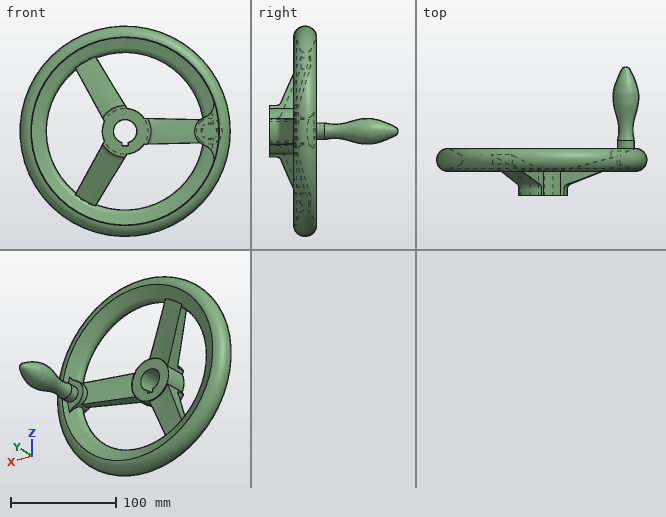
import cadquery as cq
import math


rim_outer_radius = 100.0
rim_round_radius = 11.0
rim_front = 23.0
recess_radius = rim_outer_radius - rim_round_radius
recess_mouth_radius = 89.5
recess_depth = 2.8
lip_inner_radius = 74.8
lip_round_radius = 6.0
lip_tilt = math.radians(15)

hub_radius = 21.8
hub_length = 24.8
bore_radius = 11.0
keyway_width = 5.5
keyway_reach = 13.5

spoke_count = 3
spoke_root_width = 25.5
spoke_tip_width = 21.8
spoke_root_radius = 24.5
spoke_root_length = 6.8
spoke_blend_radius = 27.4
spoke_blend_end = 11.0
spoke_front_slope = math.tan(math.radians(21.5))
spoke_back_slope = math.tan(math.radians(15.4))
spoke_back_start_radius = 20.0
spoke_back_start = 23.2

handle_x = 80.0
boss_radius = 14.0
boss_back = 42.5
handle_base_radius = 8.0
handle_base_end = 52.5
neck_radius = 6.8
neck_position = 62.4
neck_curve_radius = 40.0
belly_start = 73.4
belly_radius = 12.4
belly_position = 92.4
tip_edge_radius = 4.0
tip_edge = 120.0
tip_end = 122.4

rim_middle = rim_front + rim_round_radius
rim_back = rim_front + 2 * rim_round_radius
recess_floor = rim_front + recess_depth
lip_center_radius = lip_inner_radius + lip_round_radius
lip_front_radius = lip_center_radius - lip_round_radius * math.sin(lip_tilt)
lip_front = recess_floor + (recess_radius - lip_front_radius) * math.tan(lip_tilt)
lip_center = lip_front + lip_round_radius * math.cos(lip_tilt)


def revolve_about_y(profile):
    """Turn a closed (radius, y) profile once around the Y axis."""
    return profile.close().revolve(360, (0, 0, 0), (0, 1, 0))


def extrude_along_y(sketch, start, end):
    """Extrude an XZ sketch from y = start to y = end."""
    return sketch.extrude(start - end).translate((0, start, 0))


def make_rim():
    across = recess_radius - lip_center_radius
    along = rim_back - lip_center
    tangent_angle = math.atan2(along, across) + math.acos(lip_round_radius / math.hypot(across, along))
    lip_back_point = (
        lip_center_radius + lip_round_radius * math.cos(tangent_angle),
        lip_center + lip_round_radius * math.sin(tangent_angle),
    )
    mouth_offset = recess_mouth_radius - recess_radius
    mouth_y = rim_middle - math.sqrt(rim_round_radius**2 - mouth_offset**2)
    profile = (
        cq.Workplane("XY")
        .moveTo(recess_mouth_radius, mouth_y)
        .threePointArc((rim_outer_radius, rim_middle), (recess_radius, rim_back))
        .lineTo(*lip_back_point)
        .threePointArc((lip_inner_radius, lip_center), (lip_front_radius, lip_front))
        .lineTo(recess_radius, recess_floor)
    )
    return revolve_about_y(profile)


def make_hub():
    return extrude_along_y(cq.Workplane("XZ").circle(hub_radius), 0, hub_length)


def make_spokes():
    end_radius = lip_center_radius
    front_end = spoke_blend_end + (end_radius - spoke_blend_radius) * spoke_front_slope
    back_end = spoke_back_start + (end_radius - spoke_back_start_radius) * spoke_back_slope
    disc = revolve_about_y(
        cq.Workplane("XY")
        .lineTo(spoke_root_radius, 0)
        .lineTo(spoke_root_radius, spoke_root_length)
        .tangentArcPoint((spoke_blend_radius, spoke_blend_end), relative=False)
        .lineTo(end_radius, front_end)
        .lineTo(end_radius, back_end)
        .lineTo(spoke_back_start_radius, spoke_back_start)
        .lineTo(0, spoke_back_start)
    )
    bar = extrude_along_y(
        cq.Workplane("XZ").polyline([
            (0, -spoke_root_width / 2),
            (end_radius, -spoke_tip_width / 2),
            (end_radius, spoke_tip_width / 2),
            (0, spoke_root_width / 2),
        ]).close(),
        0, rim_back,
    )
    arm = disc.intersect(bar)
    spokes = arm
    for index in range(1, spoke_count):
        spokes = spokes.union(arm.rotate((0, 0, 0), (0, 1, 0), index * 360 / spoke_count))
    return spokes


def make_boss():
    flank_radius = boss_radius
    center_distance = recess_radius - flank_radius
    boss_to_flank = boss_radius + flank_radius
    center_x = (center_distance**2 - boss_to_flank**2 + handle_x**2) / (2 * handle_x)
    center_z = math.sqrt(center_distance**2 - center_x**2)
    boss_touch_x = (handle_x + center_x) / 2
    boss_touch_z = center_z / 2
    rim_touch_x = center_x * recess_radius / center_distance
    rim_touch_z = center_z * recess_radius / center_distance
    angle_to_boss = math.atan2(boss_touch_z - center_z, boss_touch_x - center_x)
    angle_to_rim = math.atan2(rim_touch_z - center_z, rim_touch_x - center_x)
    middle_angle = (angle_to_boss + angle_to_rim) / 2
    middle_x = center_x + flank_radius * math.cos(middle_angle)
    middle_z = center_z + flank_radius * math.sin(middle_angle)
    outline = (
        cq.Workplane("XZ")
        .moveTo(rim_touch_x, rim_touch_z)
        .threePointArc((middle_x, middle_z), (boss_touch_x, boss_touch_z))
        .threePointArc((handle_x - boss_radius, 0), (boss_touch_x, -boss_touch_z))
        .threePointArc((middle_x, -middle_z), (rim_touch_x, -rim_touch_z))
        .threePointArc((recess_radius, 0), (rim_touch_x, rim_touch_z))
        .close()
    )
    return extrude_along_y(outline, recess_floor, boss_back)


def make_handle():
    def neck_radius_at(y):
        offset = y - neck_position
        return neck_radius + neck_curve_radius - math.sqrt(neck_curve_radius**2 - offset**2)

    neck_end_sine = (belly_start - neck_position) / neck_curve_radius
    neck_end_direction = (neck_end_sine, math.sqrt(1 - neck_end_sine**2))
    tip_height = tip_end - tip_edge
    tip_radius = (tip_edge_radius**2 + tip_height**2) / (2 * tip_height)
    tip_edge_sine = tip_edge_radius / tip_radius
    tip_edge_direction = (-math.sqrt(1 - tip_edge_sine**2), tip_edge_sine)
    tip_middle_angle = math.asin(tip_edge_sine) / 2
    tip_middle = (
        tip_radius * math.sin(tip_middle_angle),
        tip_end - tip_radius * (1 - math.cos(tip_middle_angle)),
    )
    profile = (
        cq.Workplane("XY")
        .moveTo(0, recess_floor)
        .lineTo(handle_base_radius, recess_floor)
        .lineTo(handle_base_radius, handle_base_end)
        .lineTo(neck_radius_at(handle_base_end), handle_base_end)
        .threePointArc((neck_radius, neck_position), (neck_radius_at(belly_start), belly_start))
        .spline(
            [(belly_radius, belly_position), (tip_edge_radius, tip_edge)],
            tangents=[neck_end_direction, tip_edge_direction],
            includeCurrent=True,
        )
        .threePointArc(tip_middle, (0, tip_end))
    )
    return revolve_about_y(profile).translate((handle_x, 0, 0))


def make_bore():
    bore = extrude_along_y(cq.Workplane("XZ").circle(bore_radius), 0, hub_length)
    keyway_sketch = cq.Workplane("XZ").center(0, -keyway_reach / 2).rect(keyway_width, keyway_reach)
    return bore.union(extrude_along_y(keyway_sketch, 0, hub_length))


wheel = make_rim().union(make_hub()).union(make_spokes()).union(make_boss())
result = wheel.union(make_handle()).cut(make_bore())